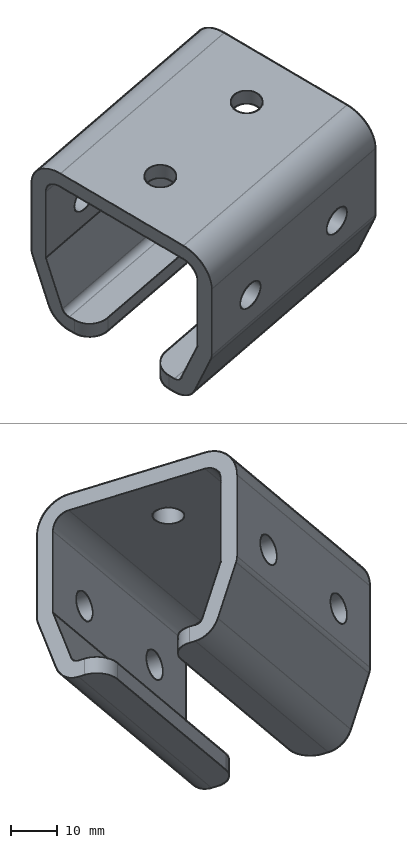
import cadquery as cq
import math

length = 55.0
width = 50.0
height = 46.0
wall = 4.0

top_bend_radius = 8.0
side_bend_drop = 28.9
side_bend_radius = wall
lip_bend_radius = 6.0
lean_angle = math.radians(20)

slot_width = 16.0
lip_corner_radius = 5.1

hole_diameter = 6.8
hole_spacing = 29.0
side_hole_drop = 20.0


def channel_prism(inset):
    """Full-length prism of the closed outline, moved inward by inset."""
    half_width = width / 2 - inset
    top = height / 2 - inset
    bottom = inset - height / 2
    bend_z = height / 2 - side_bend_drop + inset * math.tan(lean_angle / 2)
    foot_x = half_width - (bend_z - bottom) * math.tan(lean_angle)
    outline = [
        (-half_width, top),
        (half_width, top),
        (half_width, bend_z),
        (foot_x, bottom),
        (-foot_x, bottom),
        (-half_width, bend_z),
    ]
    prism = cq.Workplane("XZ").polyline(outline).close().extrude(length / 2, both=True)
    side_radius = side_bend_radius - inset
    if side_radius > 0:
        prism = prism.edges("|Y").edges(">>Z[1]").fillet(side_radius)
    prism = prism.edges("|Y and >Z").fillet(top_bend_radius - inset)
    return prism.edges("|Y and <Z").fillet(lip_bend_radius - inset)


result = channel_prism(0).cut(channel_prism(wall))

slot = cq.Workplane("XY", origin=(0, 0, -height / 2)).rect(slot_width, length).extrude(wall)
result = result.cut(slot)

lip_corners = cq.selectors.BoxSelector(
    (-slot_width, -length, -height), (slot_width, length, 0)
)
result = result.edges("|Z").edges(lip_corners).fillet(lip_corner_radius)

hole_places = [-hole_spacing / 2, hole_spacing / 2]
for hole_y in hole_places:
    top_hole = (
        cq.Workplane("XY", origin=(0, hole_y, height / 2))
        .circle(hole_diameter / 2)
        .extrude(-wall)
    )
    result = result.cut(top_hole)

for hole_y in hole_places:
    side_hole = (
        cq.Workplane("YZ", origin=(0, hole_y, height / 2 - side_hole_drop))
        .circle(hole_diameter / 2)
        .extrude(width / 2, both=True)
    )
    result = result.cut(side_hole)